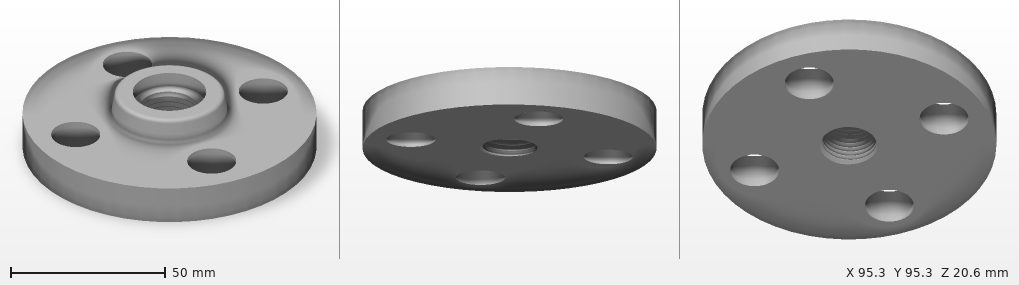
import cadquery as cq
import math

FLANGE_DIAMETER = 95.25
FLANGE_THICKNESS = 12.7

BOLT_HOLE_COUNT = 4
BOLT_HOLE_DIAMETER = 15.9
BOLT_CIRCLE_DIAMETER = 66.6

TOTAL_HEIGHT = 20.57
HUB_BASE_DIAMETER = 38.1
HUB_DRAFT = 10.0
HUB_FILLET = 1.5
HUB_HEIGHT = TOTAL_HEIGHT - FLANGE_THICKNESS

COUNTERBORE_DIAMETER = 23.8
COUNTERBORE_DEPTH = 4.9
THREAD_TOP = TOTAL_HEIGHT - COUNTERBORE_DEPTH

MM_PER_INCH = 25.4
THREADS_PER_INCH = 14
PITCH = MM_PER_INCH / THREADS_PER_INCH
TAPER = 1 / 32
CREST_RADIUS_AT_BASE = 8.7
THREAD_HALF_ANGLE = 30.0
CREST_FLAT = 0.1 * PITCH
GROOVE_OVERLAP = 0.05
EXTRA_TURNS = 1
ROOT_DIRECTION = 90.0


def crest_radius(z):
    """Radius of the tapered bore at height z."""
    return CREST_RADIUS_AT_BASE + TAPER * z


def make_body():
    """Flange disc and conical hub, revolved about Z, with the hub's top and foot rounded."""
    hub_base_radius = HUB_BASE_DIAMETER / 2
    hub_top_radius = hub_base_radius - HUB_HEIGHT * math.tan(math.radians(HUB_DRAFT))
    half_section = (
        cq.Workplane("XZ")
        .lineTo(FLANGE_DIAMETER / 2, 0)
        .lineTo(FLANGE_DIAMETER / 2, FLANGE_THICKNESS)
        .lineTo(hub_base_radius, FLANGE_THICKNESS)
        .lineTo(hub_top_radius, TOTAL_HEIGHT)
        .lineTo(0, TOTAL_HEIGHT)
        .close()
    )
    body = half_section.revolve(360, (0, 0, 0), (0, 1, 0))
    hub_top_edge = body.edges(cq.selectors.RadiusNthSelector(0))
    hub_foot_edge = body.edges(cq.selectors.RadiusNthSelector(1))
    hub_edges = hub_top_edge.add(hub_foot_edge)
    return hub_edges.fillet(HUB_FILLET)


def make_bolt_holes():
    """Plain through holes, two on the X axis and two on the Y axis."""
    return (
        cq.Workplane("XY")
        .polarArray(BOLT_CIRCLE_DIAMETER / 2, 0, 360, BOLT_HOLE_COUNT)
        .circle(BOLT_HOLE_DIAMETER / 2)
        .extrude(FLANGE_THICKNESS)
    )


def make_counterbore():
    """Straight recess from the hub top down to the start of the thread."""
    return (
        cq.Workplane("XY")
        .workplane(offset=THREAD_TOP)
        .circle(COUNTERBORE_DIAMETER / 2)
        .extrude(COUNTERBORE_DEPTH)
    )


def make_tapered_bore():
    """Cone through the thread crests."""
    return cq.Workplane(
        cq.Solid.makeCone(crest_radius(0), crest_radius(THREAD_TOP), THREAD_TOP)
    )


def make_thread_groove():
    """Helical V groove, a solid bounded by strips ruled between three conical helices."""
    turns = math.ceil(THREAD_TOP / PITCH) + 2 * EXTRA_TURNS
    height = turns * PITCH
    start = THREAD_TOP - (turns - EXTRA_TURNS) * PITCH
    half_tangent = math.tan(math.radians(THREAD_HALF_ANGLE))
    groove_depth = (PITCH - CREST_FLAT) / 2 / half_tangent
    half_mouth = (groove_depth + GROOVE_OVERLAP) * half_tangent
    mouth_radius = crest_radius(start) - GROOVE_OVERLAP
    root_radius = crest_radius(start) + groove_depth
    taper_angle = math.degrees(math.atan(TAPER))

    def helix(radius, z):
        return cq.Wire.makeHelix(PITCH, height, radius, cq.Vector(0, 0, z), angle=taper_angle)

    rails = [
        helix(mouth_radius, start - half_mouth),
        helix(root_radius, start),
        helix(mouth_radius, start + half_mouth),
    ]
    next_rails = rails[1:] + rails[:1]
    strips = [cq.Face.makeRuledSurface(rail, other) for rail, other in zip(rails, next_rails)]
    caps = [
        cq.Face.makeFromWires(cq.Wire.makePolygon([end(rail) for rail in rails], close=True))
        for end in (cq.Wire.startPoint, cq.Wire.endPoint)
    ]
    groove = cq.Solid.makeSolid(cq.Shell.makeShell(strips + caps))
    return cq.Workplane(groove).rotate((0, 0, 0), (0, 0, 1), ROOT_DIRECTION)


result = (
    make_body()
    .cut(make_bolt_holes())
    .cut(make_tapered_bore())
    .cut(make_counterbore())
    .cut(make_thread_groove())
)